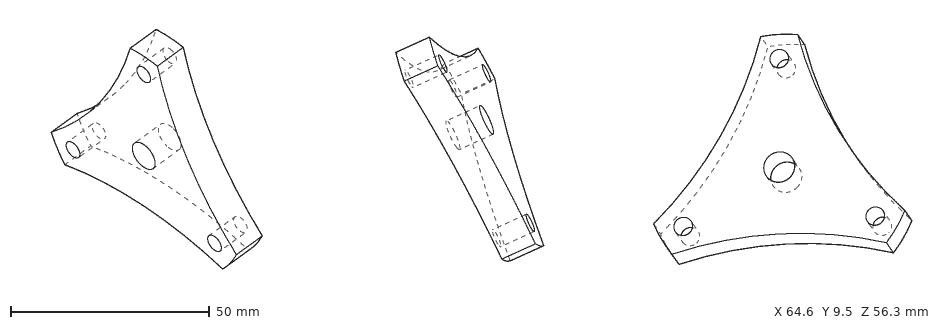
import cadquery as cq
import math

thickness = 9.5
tip_radius = 34.9
tip_width = 9.5
waist_radius = 17.6
center_hole_diameter = 7.95
arm_hole_diameter = 4.8
arm_hole_radius = 28.5
arm_count = 3

arm_pitch = 360 / arm_count
arm_angles = [90 + i * arm_pitch for i in range(arm_count)]
tip_half_angle = math.degrees(math.asin(tip_width / 2 / tip_radius))


def polar(radius, angle):
    """Point in the plate plane at an angle in degrees from +X toward +Z."""
    return (radius * math.cos(math.radians(angle)), radius * math.sin(math.radians(angle)))


def plate():
    """Convex arm ends joined by concave sides."""
    outline = cq.Workplane("XZ").moveTo(*polar(tip_radius, arm_angles[0] - tip_half_angle))
    for angle in arm_angles:
        next_arm = angle + arm_pitch
        outline = outline.threePointArc(
            polar(tip_radius, angle), polar(tip_radius, angle + tip_half_angle)
        )
        outline = outline.threePointArc(
            polar(waist_radius, angle + arm_pitch / 2),
            polar(tip_radius, next_arm - tip_half_angle),
        )
    return outline.close().extrude(thickness / 2, both=True)


def through_holes(points, diameter):
    """Cylinders through the full thickness at the given points."""
    circles = cq.Workplane("XZ").pushPoints(points).circle(diameter / 2)
    return circles.extrude(thickness / 2, both=True)


arm_hole_points = [polar(arm_hole_radius, angle) for angle in arm_angles]

result = (
    plate()
    .cut(through_holes([(0, 0)], center_hole_diameter))
    .cut(through_holes(arm_hole_points, arm_hole_diameter))
)